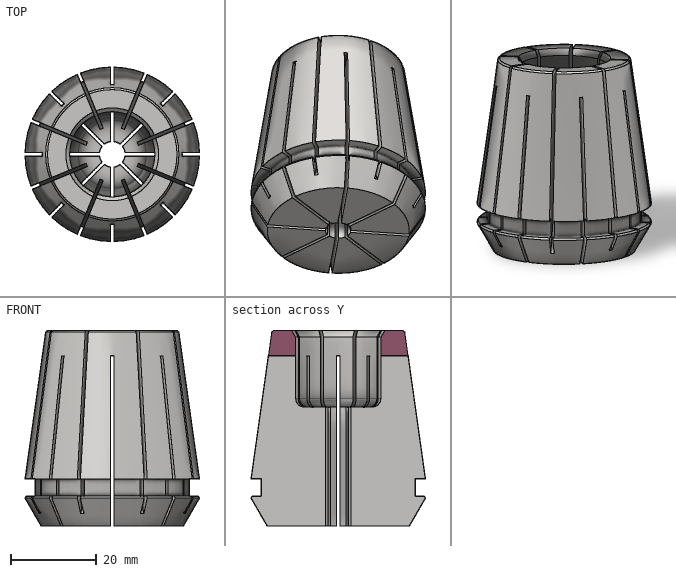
import cadquery as cq
import math

length = 46.0
max_radius = 20.5
taper_angle = 8.0
nose_angle = 30.0

nose_edge_z = 6.6
nose_top_z = 7.1
nose_top_radius = 20.2
groove_top_z = 11.15
groove_radius = 18.1
groove_fillet = 0.15

rim_chamfer_height = 0.4
rim_radius = 15.2

clamp_bore_radius = 3.0
relief_bore_radius = 10.0
relief_floor_z = 28.0
relief_floor_fillet = 2.0
bore_mouth_radius = 10.9
bore_mouth_angle = 30.0

slit_width = 0.8
slits_per_end = 8
slit_pitch = 360.0 / slits_per_end
front_slit_end_z = 40.0
rear_slit_outer_z = 3.0
rear_slit_inner_radius = 6.5

nose_face_radius = max_radius - nose_edge_z * math.tan(math.radians(nose_angle))
rim_chamfer_z = length - rim_chamfer_height
taper_end_radius = max_radius - (rim_chamfer_z - groove_top_z) * math.tan(math.radians(taper_angle))
bore_mouth_depth = (bore_mouth_radius - relief_bore_radius) / math.tan(math.radians(bore_mouth_angle))
rear_slit_outer_radius = nose_face_radius + rear_slit_outer_z * math.tan(math.radians(nose_angle))
rear_slit_slope = (relief_floor_z - rear_slit_outer_z) / (rear_slit_outer_radius - rear_slit_inner_radius)
outside_radius = max_radius + slit_width
outside_z = rear_slit_outer_z - rear_slit_slope * (outside_radius - rear_slit_outer_radius)


def revolved_body():
    """Half section in the XZ plane, revolved around the Z axis."""
    section = (
        cq.Workplane("XZ")
        .moveTo(clamp_bore_radius, 0)
        .lineTo(nose_face_radius, 0)
        .lineTo(max_radius, nose_edge_z)
        .lineTo(nose_top_radius, nose_top_z)
        .lineTo(groove_radius + groove_fillet, nose_top_z)
        .radiusArc((groove_radius, nose_top_z + groove_fillet), groove_fillet)
        .lineTo(groove_radius, groove_top_z - groove_fillet)
        .radiusArc((groove_radius + groove_fillet, groove_top_z), groove_fillet)
        .lineTo(max_radius, groove_top_z)
        .lineTo(taper_end_radius, rim_chamfer_z)
        .lineTo(rim_radius, length)
        .lineTo(bore_mouth_radius, length)
        .lineTo(relief_bore_radius, length - bore_mouth_depth)
        .lineTo(relief_bore_radius, relief_floor_z + relief_floor_fillet)
        .radiusArc((relief_bore_radius - relief_floor_fillet, relief_floor_z), relief_floor_fillet)
        .lineTo(clamp_bore_radius, relief_floor_z)
        .close()
    )
    return section.revolve(360, (0, 0, 0), (0, 1, 0))


def radial_slit(profile, angle):
    """Thin radial blade with the given (radius, height) outline."""
    blade = cq.Workplane("XZ").polyline(profile).close().extrude(slit_width / 2, both=True)
    return blade.rotate((0, 0, 0), (0, 0, 1), angle)


def cut_slits(body):
    """Alternate front and rear slits evenly around the axis."""
    front_profile = [
        (0, 0),
        (outside_radius, 0),
        (outside_radius, front_slit_end_z),
        (0, front_slit_end_z),
    ]
    rear_profile = [
        (rear_slit_inner_radius, relief_floor_z),
        (outside_radius, outside_z),
        (outside_radius, length),
        (rear_slit_inner_radius, length),
    ]
    for index in range(slits_per_end):
        front_angle = index * slit_pitch
        rear_angle = front_angle + slit_pitch / 2
        body = body.cut(radial_slit(front_profile, front_angle))
        body = body.cut(radial_slit(rear_profile, rear_angle))
    return body


result = cut_slits(revolved_body())